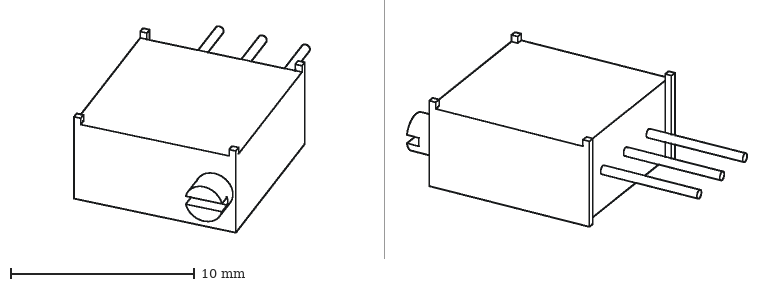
import cadquery as cq

width = 9.53
depth = 10.03
block_height = 4.83
standoff = 0.40
post_size = 0.40

screw_diameter = 2.19
screw_length = 1.52
screw_edge_distance = 1.27
slot_width = 0.51
slot_depth = 0.76

pin_diameter = 0.51
pin_pitch = 2.54
pin_count = 3
pin_reach = 5.63

axis_height = block_height / 2
screw_x = width / 2 - screw_edge_distance
recess_floor_y = depth - standoff


def box_from(x, y, z, length_x, length_y, length_z):
    """Box whose lowest corner is at (x, y, z)."""
    box = cq.Workplane("XY").box(length_x, length_y, length_z, centered=False)
    return box.translate((x, y, z))


def cylinder_along_y(x, start_y, length, diameter):
    """Cylinder running toward +Y from start_y, at the common axis height."""
    start = cq.Vector(x, start_y, axis_height)
    return cq.Workplane(cq.Solid.makeCylinder(diameter / 2, length, start, cq.Vector(0, 1, 0)))


def make_housing():
    """Block with four top posts and a rear recess between two full-height rails."""
    housing = box_from(-width / 2, 0, 0, width, recess_floor_y, block_height)
    for x in (-width / 2, width / 2 - post_size):
        front_post = box_from(x, 0, 0, post_size, post_size, block_height + standoff)
        rear_rail = box_from(x, recess_floor_y, 0, post_size, standoff, block_height + standoff)
        housing = housing.union(front_post).union(rear_rail)
    return housing


def make_screw():
    """Round screw head with a horizontal driver slot across its end."""
    screw = cylinder_along_y(screw_x, -screw_length, screw_length, screw_diameter)
    slot = box_from(
        screw_x - screw_diameter / 2,
        -screw_length,
        axis_height - slot_width / 2,
        screw_diameter,
        slot_depth,
        slot_width,
    )
    return screw.cut(slot)


def make_pin(index):
    """Round pin rising from the floor of the rear recess."""
    x = (index - (pin_count - 1) / 2) * pin_pitch
    return cylinder_along_y(x, recess_floor_y, standoff + pin_reach, pin_diameter)


result = make_housing().union(make_screw())
for pin_index in range(pin_count):
    result = result.union(make_pin(pin_index))